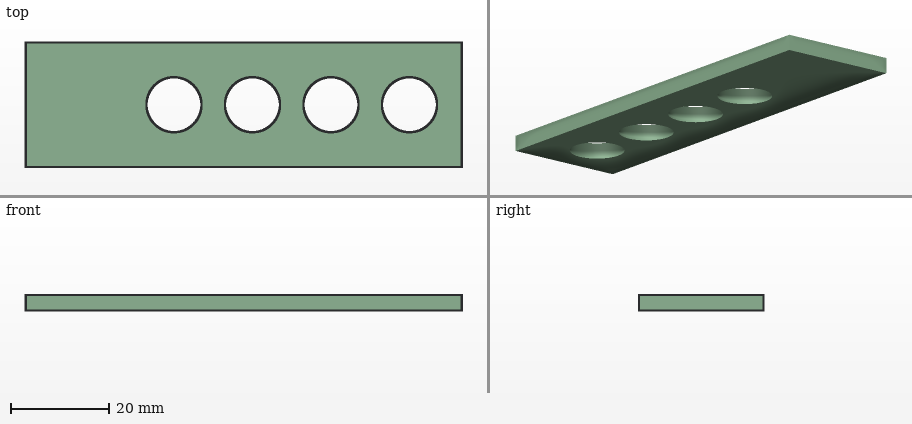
import cadquery as cq

plate_length = 88.9
plate_width = 25.4
plate_thickness = 3.25

hole_diameter = 11.18
hole_count = 4
hole_pitch = 16.0
last_hole_to_end = 10.67


def make_plate():
    return cq.Workplane("XY").box(plate_length, plate_width, plate_thickness)


def hole_centres():
    last_hole_x = plate_length / 2 - last_hole_to_end
    return [(last_hole_x - index * hole_pitch, 0) for index in range(hole_count)]


def drill_holes(plate):
    return plate.faces(">Z").workplane().pushPoints(hole_centres()).hole(hole_diameter)


result = drill_holes(make_plate())